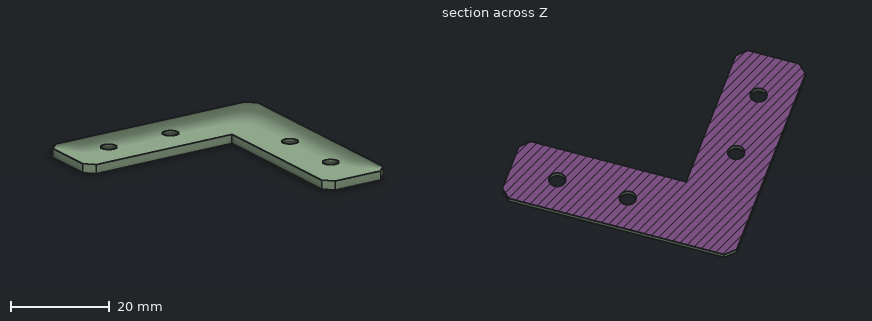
import cadquery as cq

side = 50.0
arm_width = 15.0
thickness = 2.0
corner_chamfer = 2.0
hole_diameter = 3.3
hole_distances = (25.0, 40.0)

arm_center = arm_width / 2


def make_plate():
    """L-shaped plate with every corner cut except the inner one."""
    outline = [
        (0, 0),
        (side, 0),
        (side, -arm_width),
        (arm_width, -arm_width),
        (arm_width, -side),
        (0, -side),
    ]
    plate = cq.Workplane("XY").polyline(outline).close().extrude(thickness)
    inner_corner = cq.selectors.NearestToPointSelector((arm_width, -arm_width, thickness / 2))
    outer_corners = cq.selectors.SubtractSelector(cq.StringSyntaxSelector("|Z"), inner_corner)
    return plate.edges(outer_corners).chamfer(corner_chamfer)


def make_holes():
    """Through holes on the centre line of both arms."""
    centers = []
    for distance in hole_distances:
        centers.append((distance, -arm_center))
        centers.append((arm_center, -distance))
    return cq.Workplane("XY").pushPoints(centers).circle(hole_diameter / 2).extrude(thickness)


result = make_plate().cut(make_holes())